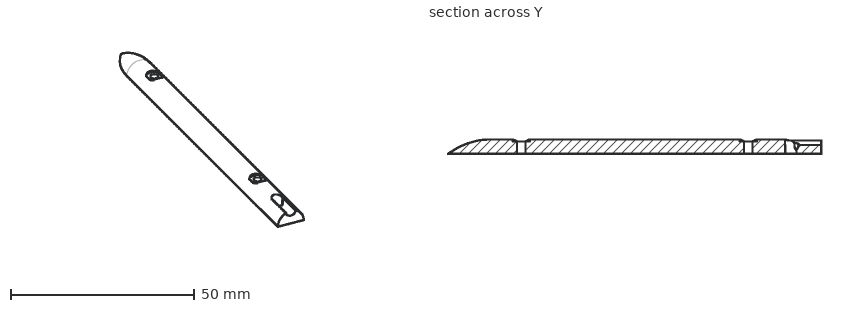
import cadquery as cq
import math

length = 102.0
radius = 4.0
nose_length = 11.2

screw_hole_inset = 20.0
screw_hole_diameter = 2.2
counterbore_diameter = 4.6
counterbore_depth = 0.5

channel_diameter = 3.0
channel_hole_x = 93.6
groove_axis_height = radius

relief_diameter = 2.2
relief_tilt = 30.0
relief_start_height = 0.8
relief_length = 6.1


def half_rod():
    """Revolve the tangent-ogive profile by half a turn about the X axis."""
    ogive_radius = (nose_length**2 + radius**2) / (2 * radius)
    half_nose = nose_length / 2
    ogive_mid_height = math.sqrt(ogive_radius**2 - half_nose**2) - (ogive_radius - radius)
    return (
        cq.Workplane("XY")
        .moveTo(0, 0)
        .threePointArc((half_nose, ogive_mid_height), (nose_length, radius))
        .lineTo(length, radius)
        .lineTo(length, 0)
        .close()
        .revolve(180, (0, 0, 0), (1, 0, 0))
    )


def vertical_cutter(x, diameter, depth):
    """Cylinder on the centreline, reaching the given depth below the crown."""
    return cq.Workplane("XY", origin=(x, 0, radius)).circle(diameter / 2).extrude(-depth)


def groove_cutter():
    """Round-bottomed groove, open upward, from the channel hole to the blunt end."""
    groove_length = length - channel_hole_x
    bottom = (
        cq.Workplane("YZ", origin=(channel_hole_x, 0, groove_axis_height))
        .circle(channel_diameter / 2)
        .extrude(groove_length)
    )
    opening = cq.Workplane("XY", origin=(channel_hole_x, 0, groove_axis_height)).box(
        groove_length, channel_diameter, radius, centered=(False, True, False)
    )
    return bottom.union(opening)


def relief_cutter():
    """Slanted cylinder rising toward the blunt end from the foot of the channel hole."""
    tilt = math.radians(relief_tilt)
    direction = cq.Vector(math.sin(tilt), 0, math.cos(tilt))
    start = cq.Vector(channel_hole_x, 0, relief_start_height)
    return cq.Workplane(cq.Solid.makeCylinder(relief_diameter / 2, relief_length, start, direction))


result = half_rod()
for screw_x in (screw_hole_inset, length - screw_hole_inset):
    result = result.cut(vertical_cutter(screw_x, screw_hole_diameter, radius))
    result = result.cut(vertical_cutter(screw_x, counterbore_diameter, counterbore_depth))
result = result.cut(vertical_cutter(channel_hole_x, channel_diameter, radius))
result = result.cut(groove_cutter())
result = result.cut(relief_cutter())